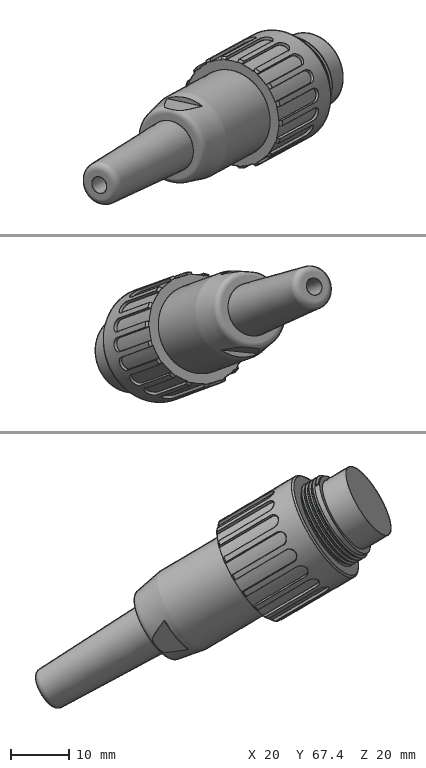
import cadquery as cq
import math

TOTAL_LENGTH = 67.4
THREAD_START_Y = -4.9
KNOB_BACK_Y = -8.8
KNOB_FRONT_Y = -25.0
TAPER_START_Y = -38.7
BODY_FRONT_Y = -44.6
TIP_Y = -TOTAL_LENGTH

PLUG_RADIUS = 13.5 / 2
BODY_RADIUS = 15.5 / 2
TAPER_ANGLE = 10.2
BODY_FRONT_FILLET = 1.0
FLAT_BACK_Y = -40.1
FLAT_HALF_SPACING = 6.6

SLEEVE_BASE_RADIUS = 4.62
SLEEVE_TIP_RADIUS = 3.75
SLEEVE_FILLET = 1.2
CABLE_HOLE_DIAMETER = 3.0
CABLE_HOLE_DEPTH = BODY_FRONT_Y - TIP_Y

KNOB_RADIUS = 20.0 / 2
KNOB_BACK_CHAMFER = 0.3
KNOB_FRONT_CHAMFER = 0.4
FLUTE_COUNT = 18
FLUTE_WIDTH = 2.5
FLUTE_DEPTH = 0.5
FLUTE_DRAFT_ANGLE = 8.0
FLUTE_END_Y = -12.85

THREAD_MAJOR_RADIUS = 16.0 / 2
THREAD_ROOT_RADIUS = 7.6
THREAD_PITCH = 0.75
THREAD_RUN_IN = 0.2
THREAD_CREST = 0.1
THREAD_BASE = 0.6
THREAD_OVERLAP = 0.1
THREAD_CORE_FRONT_Y = -12.0


def cylinder(radius, back_y, front_y):
    """Cylinder on the Y axis running from back_y towards -Y to front_y."""
    plane = cq.Workplane("XZ", origin=(0, back_y, 0))
    return plane.circle(radius).extrude(back_y - front_y)


def make_thread():
    """Threaded core whose helical ridge starts near its back face and ends inside the knob."""
    start = -THREAD_START_Y + THREAD_RUN_IN + THREAD_BASE / 2
    height = THREAD_START_Y - KNOB_BACK_Y
    inner_radius = THREAD_ROOT_RADIUS - THREAD_OVERLAP
    helix = cq.Wire.makeHelix(THREAD_PITCH, height, THREAD_ROOT_RADIUS, center=cq.Vector(0, 0, start))
    profile = [
        (inner_radius, start - THREAD_BASE / 2),
        (THREAD_MAJOR_RADIUS, start - THREAD_CREST / 2),
        (THREAD_MAJOR_RADIUS, start + THREAD_CREST / 2),
        (inner_radius, start + THREAD_BASE / 2),
    ]
    ridge = cq.Workplane("XZ").polyline(profile).close().sweep(cq.Workplane(obj=helix), isFrenet=True)
    ridge = ridge.rotate((0, 0, 0), (1, 0, 0), 90)
    return cylinder(THREAD_ROOT_RADIUS, THREAD_START_Y, THREAD_CORE_FRONT_Y).union(ridge)


def make_knob():
    """Grip ring with round-ended flutes open at its front face."""
    knob = cylinder(KNOB_RADIUS, KNOB_BACK_Y, KNOB_FRONT_Y)
    knob = knob.faces(">Y").chamfer(KNOB_BACK_CHAMFER)
    knob = knob.faces("<Y").chamfer(KNOB_FRONT_CHAMFER)

    half_width = FLUTE_WIDTH / 2
    straight_end_y = FLUTE_END_Y - half_width
    open_end_y = KNOB_FRONT_Y - FLUTE_WIDTH
    flute = (
        cq.Workplane("XY", origin=(0, 0, KNOB_RADIUS))
        .moveTo(-half_width, open_end_y)
        .lineTo(-half_width, straight_end_y)
        .threePointArc((0, FLUTE_END_Y), (half_width, straight_end_y))
        .lineTo(half_width, open_end_y)
        .close()
        .extrude(-2 * FLUTE_DEPTH, taper=FLUTE_DRAFT_ANGLE)
        .cut(cylinder(KNOB_RADIUS - FLUTE_DEPTH, KNOB_BACK_Y, open_end_y))
    )
    for index in range(FLUTE_COUNT):
        knob = knob.cut(flute.rotate((0, 0, 0), (0, 1, 0), index * 360 / FLUTE_COUNT))
    return knob


def make_back_shell():
    """Barrel with a tapered, rounded front end and two wrench flats facing +Z and -Z."""
    taper_length = TAPER_START_Y - BODY_FRONT_Y
    front_radius = BODY_RADIUS - taper_length * math.tan(math.radians(TAPER_ANGLE))
    shell = (
        cq.Workplane("XY")
        .moveTo(0, KNOB_FRONT_Y)
        .lineTo(BODY_RADIUS, KNOB_FRONT_Y)
        .lineTo(BODY_RADIUS, TAPER_START_Y)
        .lineTo(front_radius, BODY_FRONT_Y)
        .lineTo(0, BODY_FRONT_Y)
        .close()
        .revolve(360, (0, 0, 0), (0, 1, 0))
        .faces("<Y")
        .edges()
        .fillet(BODY_FRONT_FILLET)
    )
    flat_length = FLAT_BACK_Y - BODY_FRONT_Y
    for side in (1, -1):
        waste = cq.Workplane("XY").box(2 * BODY_RADIUS, flat_length, BODY_RADIUS)
        waste_z = side * (FLAT_HALF_SPACING + BODY_RADIUS / 2)
        shell = shell.cut(waste.translate((0, FLAT_BACK_Y - flat_length / 2, waste_z)))
    return shell


def make_sleeve():
    """Tapered cable sleeve with a rounded tip and a blind cable hole."""
    return (
        cq.Workplane("XY")
        .moveTo(0, BODY_FRONT_Y)
        .lineTo(SLEEVE_BASE_RADIUS, BODY_FRONT_Y)
        .lineTo(SLEEVE_TIP_RADIUS, TIP_Y)
        .lineTo(0, TIP_Y)
        .close()
        .revolve(360, (0, 0, 0), (0, 1, 0))
        .faces("<Y")
        .edges()
        .fillet(SLEEVE_FILLET)
        .faces("<Y")
        .workplane(centerOption="CenterOfBoundBox")
        .hole(CABLE_HOLE_DIAMETER, CABLE_HOLE_DEPTH)
    )


plug = cylinder(PLUG_RADIUS, 0, THREAD_START_Y)
result = make_thread().union(plug).union(make_knob()).union(make_back_shell()).union(make_sleeve())